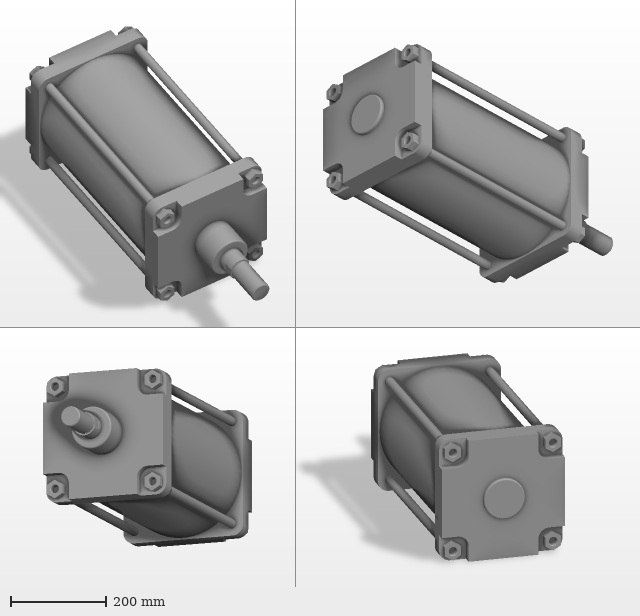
import cadquery as cq
import math


overall_length = 721.0
head_side = 270.0
head_corner_radius = 24.0
head_thickness = 52.0
rear_boss_length = 9.5
barrel_length = 417.0

pocket_side = 58.5
pocket_corner_radius = 24.0
pocket_depth = 20.0

boss_diameter = 90.0
boss_edge_radius = 3.5
front_collar_length = 69.0

barrel_diameter = 262.5

tie_rod_pitch = 219.0
tie_rod_diameter = 19.5
nut_across_flats = 34.5
nut_height = 17.0
nut_hole_diameter = 17.0
nut_hole_chamfer = 1.5

rod_diameter = 50.0
rod_shoulder_length = 39.0
flats_length = 21.5
rod_across_flats = 45.5
thread_diameter = 43.0
thread_chamfer = 2.0
groove_width = 2.0
groove_depth = 1.0
groove_offset = 1.5

rear_face = rear_boss_length
rear_inner_face = rear_face + head_thickness
front_inner_face = rear_inner_face + barrel_length
front_face = front_inner_face + head_thickness
collar_end = front_face + front_collar_length
shoulder_end = collar_end + rod_shoulder_length

corner_signs = [(y, z) for y in (-1, 1) for z in (-1, 1)]
tie_rod_places = [(y * tie_rod_pitch / 2, z * tie_rod_pitch / 2) for y, z in corner_signs]


def section(x):
    """Sketch plane across the axis at x: local x is Y, local y is Z, normal is +X."""
    return cq.Workplane("YZ", origin=(x, 0, 0))


def cylinder(start, end, diameter):
    return section(start).circle(diameter / 2).extrude(end - start)


def corner_pocket(y_sign, z_sign, start):
    """Cutter for one pocket, oversized past the sides of the head."""
    side = 2 * pocket_side
    centre = (y_sign * head_side / 2, z_sign * head_side / 2)
    block = section(start).center(*centre).rect(side, side).extrude(pocket_depth)
    return block.edges("|X").fillet(pocket_corner_radius)


def make_head(inner_face, outer_face):
    """Square head with rounded corners, nut pockets in its outer face and tie rod holes."""
    start = min(inner_face, outer_face)
    head = section(start).rect(head_side, head_side).extrude(head_thickness)
    head = head.edges("|X").fillet(head_corner_radius)
    pocket_start = outer_face if outer_face < inner_face else outer_face - pocket_depth
    for y_sign, z_sign in corner_signs:
        head = head.cut(corner_pocket(y_sign, z_sign, pocket_start))
    holes = section(start).pushPoints(tie_rod_places).circle(tie_rod_diameter / 2).extrude(head_thickness)
    return head.cut(holes)


def make_rear_head():
    boss = cylinder(0, rear_face, boss_diameter).faces("<X").fillet(boss_edge_radius)
    return make_head(rear_inner_face, rear_face).union(boss)


def make_front_head():
    """Front head with a long collar, bored through for the piston rod."""
    collar = cylinder(front_face, collar_end, boss_diameter).faces(">X").fillet(boss_edge_radius)
    rod_bore = cylinder(front_inner_face, collar_end, rod_diameter)
    return make_head(front_inner_face, front_face).union(collar).cut(rod_bore)


def make_barrel():
    return cylinder(rear_inner_face, front_inner_face, barrel_diameter)


def thread_groove_cutter():
    """Ring that cuts the shallow turned groove near the root of the threaded end."""
    start = shoulder_end + groove_offset
    end = start + groove_width
    root = cylinder(start, end, thread_diameter - 2 * groove_depth)
    return cylinder(start, end, thread_diameter).cut(root)


def make_piston_rod():
    """Rod with two wrench flats, a smooth threaded end and a shallow groove at its root."""
    rod = cylinder(front_inner_face, shoulder_end, rod_diameter)
    flats_start = shoulder_end - flats_length
    flat_offset = (rod_across_flats + rod_diameter) / 2
    for side in (-1, 1):
        flat = section(flats_start).center(side * flat_offset, 0)
        rod = rod.cut(flat.rect(rod_diameter, rod_diameter).extrude(flats_length))
    thread = cylinder(shoulder_end, overall_length, thread_diameter).faces(">X").chamfer(thread_chamfer)
    return rod.union(thread.cut(thread_groove_cutter()))


def make_tie_rod(y, z):
    """Tie rod with a hexagon nut at each end; each nut has a chamfered blind hole."""
    rear_seat = rear_face + pocket_depth
    front_seat = front_face - pocket_depth
    rear_end = rear_seat - nut_height
    nut_corner_diameter = nut_across_flats / math.cos(math.pi / 6)
    tie_rod = section(rear_seat).center(y, z).circle(tie_rod_diameter / 2).extrude(front_seat - rear_seat)
    for start in (rear_end, front_seat):
        nut_plane = section(start).center(y, z).transformed(rotate=(0, 0, 90))
        nut = nut_plane.polygon(6, nut_corner_diameter).extrude(nut_height)
        hole = section(start).center(y, z).circle(nut_hole_diameter / 2).extrude(nut_height)
        tie_rod = tie_rod.union(nut.cut(hole))
    hole_edges = tie_rod.faces("<X or >X").edges("%CIRCLE")
    return hole_edges.chamfer(nut_hole_chamfer)


rear_head = make_rear_head()
barrel = make_barrel()
front_head = make_front_head()
piston_rod = make_piston_rod()
tie_rods = [make_tie_rod(y, z).val() for y, z in tie_rod_places]

result = cq.Compound.makeCompound(
    [rear_head.val(), barrel.val(), front_head.val(), piston_rod.val(), *tie_rods]
)